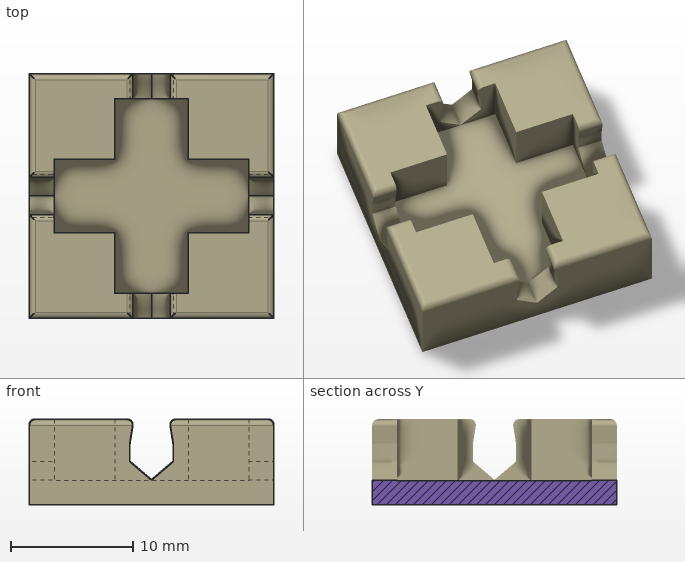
import cadquery as cq

side = 20.0
height = 7.0
edge_radius = 0.5

floor_height = 2.0
pocket_length = 15.92
pocket_width = 6.05

neck_half_width = 1.52
tip_height = 2.05
groove_half_width = 1.75
shoulder_height = 3.55
taper_start_height = 5.0
neck_height = height - edge_radius
mouth_half_width = neck_half_width + edge_radius


def make_block():
    """Square block with all four top edges rounded."""
    block = cq.Workplane("XY").box(side, side, height, centered=(True, True, False))
    return block.faces(">Z").edges().fillet(edge_radius)


def make_pocket_arm():
    """One straight arm of the cross pocket, along X."""
    depth = height - floor_height
    arm = cq.Workplane("XY").box(pocket_length, pocket_width, depth, centered=(True, True, False))
    return arm.translate((0, 0, floor_height))


def make_groove():
    """Full-length groove along X: V bottom, narrowed neck and rounded lips."""
    lip_offset = edge_radius * 0.5 ** 0.5
    lip_middle = (mouth_half_width - lip_offset, neck_height + lip_offset)
    return (
        cq.Workplane("YZ")
        .moveTo(0, tip_height)
        .lineTo(groove_half_width, shoulder_height)
        .lineTo(groove_half_width, taper_start_height)
        .lineTo(neck_half_width, neck_height)
        .threePointArc(lip_middle, (mouth_half_width, height))
        .lineTo(-mouth_half_width, height)
        .threePointArc((-lip_middle[0], lip_middle[1]), (-neck_half_width, neck_height))
        .lineTo(-groove_half_width, taper_start_height)
        .lineTo(-groove_half_width, shoulder_height)
        .close()
        .extrude(side / 2, both=True)
    )


result = make_block()
for angle in (0, 90):
    for cutter in (make_pocket_arm(), make_groove()):
        result = result.cut(cutter.rotate((0, 0, 0), (0, 0, 1), angle))